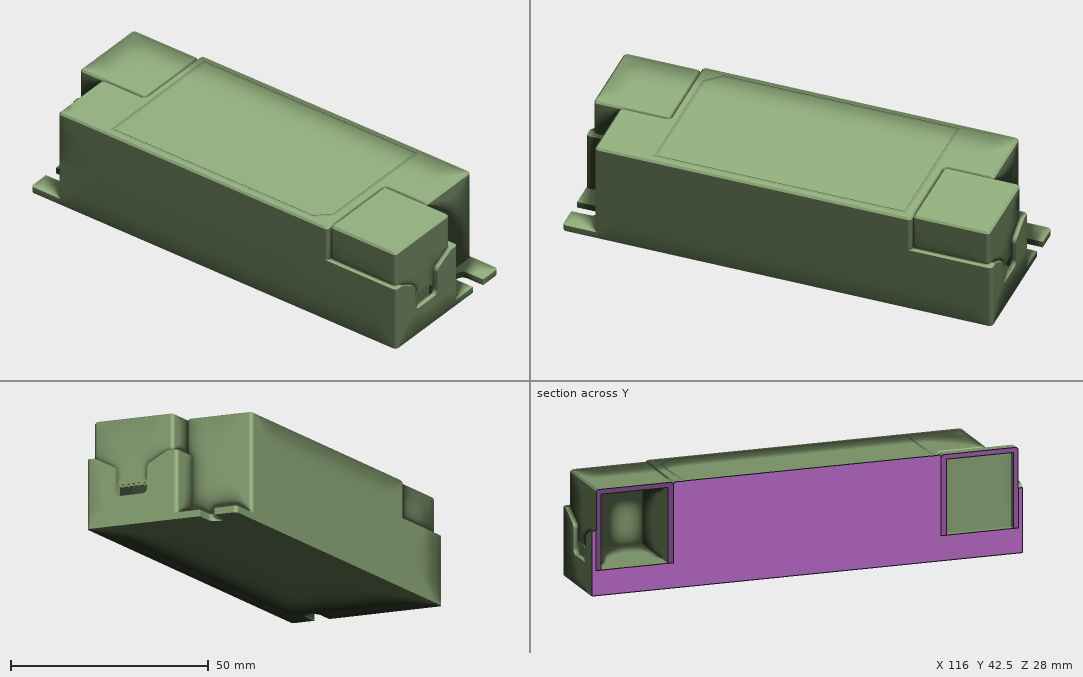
import cadquery as cq
import math

LENGTH = 116.0
WIDTH = 42.5
HEIGHT = 28.0
PLATE_THICKNESS = 1.7
RIM_HEIGHT = 18.1
CORNER_RADIUS = 1.0
TOP_CHAMFER = 0.5
HALF_LENGTH = LENGTH / 2
HALF_WIDTH = WIDTH / 2

EAR_LENGTH = 8.6
EAR_WIDTH = 16.8
SLOT_WIDTH = 4.2
SLOT_DEPTH = 7.0
SLOT_FROM_SIDE = 8.4
TOWER_END = HALF_LENGTH - EAR_LENGTH
EAR_EDGE = HALF_WIDTH - EAR_WIDTH

COVER_LENGTH = 20.6
COVER_WIDTH = 22.5
COVER_WALL = 1.4
END_WALL = 1.3
SIDE_WALL = 1.4
COVER_FRONT = -HALF_LENGTH + END_WALL
COVER_BACK = COVER_FRONT + COVER_LENGTH
COVER_OUTER_SIDE = HALF_WIDTH - SIDE_WALL
COVER_INNER_SIDE = COVER_OUTER_SIDE - COVER_WIDTH
COVER_CENTER_X = (COVER_FRONT + COVER_BACK) / 2
COVER_CENTER_Y = (COVER_OUTER_SIDE + COVER_INNER_SIDE) / 2

NOTCH_WIDTH = 9.0
NOTCH_FLOOR = 7.7
NOTCH_FLOOR_RADIUS = 1.4
FUNNEL_WIDTH = COVER_WIDTH - 2 * CORNER_RADIUS
FUNNEL_ANGLE = 27.5
NECK_RADIUS = 1.7
CAVITY_FLOOR = 6.7
WINDOW_TOP = 10.9
TOOTH_COUNT = 6
TOOTH_PITCH = NOTCH_WIDTH / TOOTH_COUNT
TOOTH_WIDTH = TOOTH_PITCH / 2
TOOTH_HEIGHT = 0.7

LABEL_LENGTH = 68.2
LABEL_WIDTH = 38.7
LABEL_CORNER_CUT = 4.1
GROOVE_WIDTH = 0.8
GROOVE_DEPTH = 0.1

END_TURNS = (0, 180)


def turned(shape, angle):
    return shape.rotate((0, 0, 0), (0, 0, 1), angle)


def block(length, width, bottom, top, center_x=0.0, center_y=0.0):
    """Upright block between two heights."""
    base = cq.Workplane("XY").workplane(offset=bottom).center(center_x, center_y)
    return base.rect(length, width).extrude(top - bottom)


def rounded_block(length, width, bottom, top, center_x=0.0, center_y=0.0):
    """Upright block with rounded upright edges."""
    return block(length, width, bottom, top, center_x, center_y).edges("|Z").fillet(CORNER_RADIUS)


def stepped_prism(half_outline, bottom, top):
    """Prism on an outline made of half_outline and its copy turned half a turn."""
    other_half = [(-x, -y) for x, y in half_outline]
    base = cq.Workplane("XY").workplane(offset=bottom)
    return base.polyline(half_outline + other_half).close().extrude(top - bottom)


def make_lower_block():
    half_outline = [
        (HALF_LENGTH, EAR_EDGE),
        (TOWER_END, EAR_EDGE),
        (TOWER_END, HALF_WIDTH),
        (-HALF_LENGTH, HALF_WIDTH),
    ]
    prism = stepped_prism(half_outline, PLATE_THICKNESS, RIM_HEIGHT)
    middle = (PLATE_THICKNESS + RIM_HEIGHT) / 2
    nearest = cq.selectors.NearestToPointSelector
    sharp = nearest((TOWER_END, EAR_EDGE, middle)) + nearest((-TOWER_END, -EAR_EDGE, middle))
    upright = cq.selectors.ParallelDirSelector(cq.Vector(0, 0, 1))
    return prism.edges(upright - sharp).fillet(CORNER_RADIUS)


def make_tower():
    half_outline = [
        (TOWER_END, -COVER_INNER_SIDE),
        (TOWER_END, HALF_WIDTH),
        (COVER_BACK, HALF_WIDTH),
        (COVER_BACK, COVER_INNER_SIDE),
    ]
    prism = stepped_prism(half_outline, RIM_HEIGHT, HEIGHT).edges("|Z").fillet(CORNER_RADIUS)
    return prism.faces(">Z").chamfer(TOP_CHAMFER)


def make_screw_slot():
    end_radius = SLOT_WIDTH / 2
    center_y = -HALF_WIDTH + SLOT_FROM_SIDE
    round_end_x = -HALF_LENGTH + SLOT_DEPTH - end_radius
    straight = block(
        SLOT_DEPTH - end_radius, SLOT_WIDTH, 0, PLATE_THICKNESS,
        (round_end_x - HALF_LENGTH) / 2, center_y,
    )
    round_end = cq.Workplane("XY").center(round_end_x, center_y).circle(end_radius).extrude(PLATE_THICKNESS)
    return straight.union(round_end)


def make_cable_notch():
    """Funnel-shaped notch through the end wall, open at the rim."""
    half_notch = NOTCH_WIDTH / 2
    half_funnel = FUNNEL_WIDTH / 2
    neck = RIM_HEIGHT - (half_funnel - half_notch) * math.tan(math.radians(FUNNEL_ANGLE))
    outline = [
        (-half_funnel, RIM_HEIGHT),
        (-half_notch, neck),
        (-half_notch, NOTCH_FLOOR),
        (half_notch, NOTCH_FLOOR),
        (half_notch, neck),
        (half_funnel, RIM_HEIGHT),
    ]
    plane = cq.Workplane("YZ", origin=(-HALF_LENGTH, COVER_CENTER_Y, 0))
    notch = plane.polyline(outline).close().extrude(END_WALL)
    for side in (-half_notch, half_notch):
        for height, radius in ((NOTCH_FLOOR, NOTCH_FLOOR_RADIUS), (neck, NECK_RADIUS)):
            corner = (-HALF_LENGTH + END_WALL / 2, COVER_CENTER_Y + side, height)
            notch = notch.edges(cq.selectors.NearestToPointSelector(corner)).fillet(radius)
    return notch


def make_label_groove():
    bottom = HEIGHT - GROOVE_DEPTH
    border = block(LABEL_LENGTH, LABEL_WIDTH, bottom, HEIGHT)
    border = border.edges("|Z and >X and <Y").chamfer(LABEL_CORNER_CUT)
    inner_corner_cut = LABEL_CORNER_CUT - GROOVE_WIDTH * (2 - math.sqrt(2))
    field = block(LABEL_LENGTH - 2 * GROOVE_WIDTH, LABEL_WIDTH - 2 * GROOVE_WIDTH, bottom, HEIGHT)
    field = field.edges("|Z and >X and <Y").chamfer(inner_corner_cut)
    return border.cut(field)


def make_housing():
    plate = rounded_block(LENGTH, WIDTH, 0, PLATE_THICKNESS)
    body = plate.union(make_lower_block()).union(make_tower())
    cavity = rounded_block(
        COVER_LENGTH, COVER_WIDTH, CAVITY_FLOOR, RIM_HEIGHT, COVER_CENTER_X, COVER_CENTER_Y,
    )
    for angle in END_TURNS:
        for cutter in (cavity, make_cable_notch(), make_screw_slot()):
            body = body.cut(turned(cutter, angle))
    return body.cut(make_label_groove())


def make_cable_window():
    """Opening through the front wall of the cover, with clamping teeth along its top edge."""
    center_x = COVER_FRONT + COVER_WALL / 2
    window = block(COVER_WALL, NOTCH_WIDTH, CAVITY_FLOOR, WINDOW_TOP, center_x, COVER_CENTER_Y)
    for index in range(TOOTH_COUNT):
        tooth_y = COVER_CENTER_Y + (index - (TOOTH_COUNT - 1) / 2) * TOOTH_PITCH
        tooth = block(COVER_WALL, TOOTH_WIDTH, WINDOW_TOP - TOOTH_HEIGHT, WINDOW_TOP, center_x, tooth_y)
        window = window.cut(tooth)
    return window


def make_terminal_cover():
    """Hollow cover, open below, that stands on the cavity floor at the -X end."""
    shell = rounded_block(
        COVER_LENGTH, COVER_WIDTH, CAVITY_FLOOR, HEIGHT, COVER_CENTER_X, COVER_CENTER_Y,
    )
    shell = shell.faces(">Z").chamfer(TOP_CHAMFER)
    hollow = block(
        COVER_LENGTH - 2 * COVER_WALL, COVER_WIDTH - 2 * COVER_WALL,
        CAVITY_FLOOR, HEIGHT - COVER_WALL, COVER_CENTER_X, COVER_CENTER_Y,
    )
    return shell.cut(hollow).cut(make_cable_window())


housing = make_housing()
terminal_covers = [turned(make_terminal_cover(), angle) for angle in END_TURNS]

result = cq.Compound.makeCompound([housing.val(), *[cover.val() for cover in terminal_covers]])